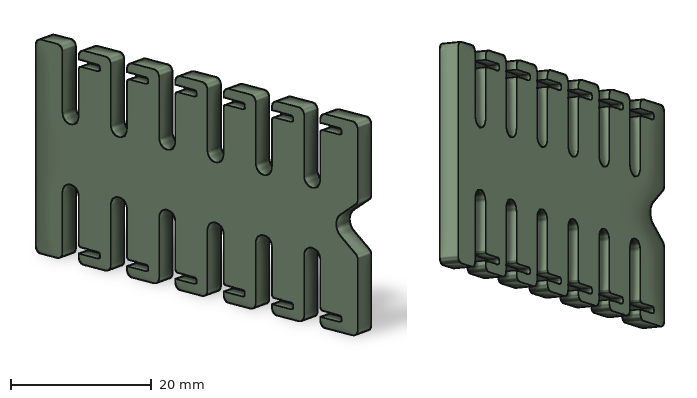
import cadquery as cq
import math

LENGTH = 60.0
THICKNESS = 3.0
HEIGHT = 32.0
CORNER_RADIUS = 1.0

SLOT_COUNT = 6
SLOT_WIDTH = 3.0
SLOT_PITCH = 9.0
WEB_HEIGHT = 9.0
END_BAR_WIDTH = 5.0
FIRST_SLOT_X = -LENGTH / 2 + END_BAR_WIDTH + SLOT_WIDTH / 2

NOTCH_HALF_WIDTH = 4.0
NOTCH_SLOPE = 3 / 4
NOTCH_DEPTH = NOTCH_HALF_WIDTH / NOTCH_SLOPE
NOTCH_ROOT_RADIUS = 2.0

GROOVE_WIDTH = 1.0
GROOVE_LENGTH = 4.0
GROOVE_DEPTH = 2.0
GROOVE_EDGE_DISTANCE = 2.0
MOUTH_RADIUS = 0.5

FRONT_Y = -THICKNESS / 2
SIDES = (-1, 1)
SLOT_CENTRES = [FIRST_SLOT_X + i * SLOT_PITCH for i in range(SLOT_COUNT)]


def extrude_back(sketch, depth):
    """Extrude an XZ sketch on the front face by depth toward +Y."""
    return sketch.extrude(-depth)


def front_plane():
    """XZ workplane on the front face."""
    return cq.Workplane("XZ", origin=(0, FRONT_Y, 0))


def plate():
    """Plain rectangular blank."""
    return extrude_back(front_plane().rect(LENGTH, HEIGHT), THICKNESS)


def slot(centre_x, side):
    """Slot open at one long edge, with a full-radius root."""
    radius = SLOT_WIDTH / 2
    left = centre_x - radius
    right = centre_x + radius
    edge_z = side * HEIGHT / 2
    root_z = side * WEB_HEIGHT / 2
    tangent_z = root_z + side * radius
    outline = (
        front_plane()
        .moveTo(left, edge_z)
        .lineTo(left, tangent_z)
        .threePointArc((centre_x, root_z), (right, tangent_z))
        .lineTo(right, edge_z)
        .close()
    )
    return extrude_back(outline, THICKNESS)


def notch():
    """V notch with a rounded root."""
    end_x = LENGTH / 2
    outline = front_plane().polyline([
        (end_x, NOTCH_HALF_WIDTH),
        (end_x - NOTCH_DEPTH, 0),
        (end_x, -NOTCH_HALF_WIDTH),
    ]).close()
    return extrude_back(outline, THICKNESS).edges("|Y and <X").fillet(NOTCH_ROOT_RADIUS)


def groove(slot_centre_x, side):
    """Blind groove from the +X wall of a slot, with a round inner end.

    The mouth corner nearer the plate's middle is rounded; the other one is sharp.
    """
    radius = GROOVE_WIDTH / 2
    start_x = slot_centre_x + SLOT_WIDTH / 2
    end_x = start_x + GROOVE_LENGTH
    tangent_x = end_x - radius
    centre_z = side * (HEIGHT / 2 - GROOVE_EDGE_DISTANCE)
    outer_z = centre_z + side * radius
    inner_z = centre_z - side * radius
    mouth_z = inner_z - side * MOUTH_RADIUS
    arc_inset = MOUTH_RADIUS * (1 - math.sqrt(0.5))
    outline = (
        front_plane()
        .moveTo(start_x, outer_z)
        .lineTo(tangent_x, outer_z)
        .threePointArc((end_x, centre_z), (tangent_x, inner_z))
        .lineTo(start_x + MOUTH_RADIUS, inner_z)
        .threePointArc((start_x + arc_inset, inner_z - side * arc_inset), (start_x, mouth_z))
        .close()
    )
    return extrude_back(outline, GROOVE_DEPTH)


def round_outer_corners(body):
    """Round the finger tips and the mouth of the notch."""
    tip_corners = body.faces("<Z or >Z").edges("|Y")
    notch_mouth = body.faces(">X").edges("|Y")
    corners = set(tip_corners.vals()) | set(notch_mouth.vals())
    return body.newObject(list(corners)).fillet(CORNER_RADIUS)


result = plate().cut(notch())
for side in SIDES:
    for centre_x in SLOT_CENTRES:
        result = result.cut(slot(centre_x, side))
result = round_outer_corners(result)
for side in SIDES:
    for centre_x in SLOT_CENTRES:
        result = result.cut(groove(centre_x, side))